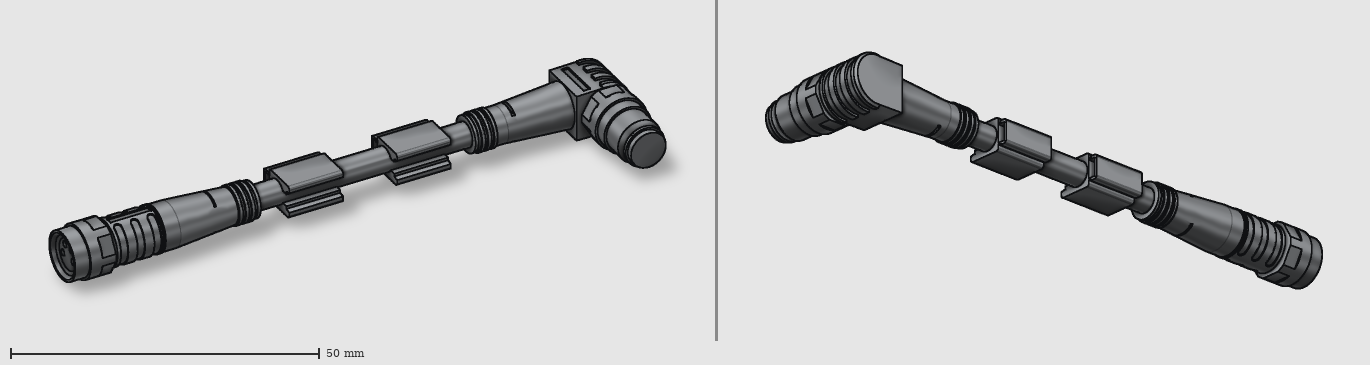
import cadquery as cq
import math


overall_length = 103.4
overall_width = 23.5
ring_dia = 9.6
collar_dia = 8.8
grip_dia = 8.4
barrel_dia = 8.0
boot_dia = 8.2
boot_tip_dia = 6.5
ridge_dia = 6.9
groove_dia = 6.3
neck_dia = 5.9
cable_dia = 4.4

collar_end = 2.7
socket_ring_end = 7.3
grip_start = 8.0
grip_end = 17.0
socket_cone_start = 19.7
socket_cone_end = 31.0
socket_tail_end = 35.2
socket_notch_y = 27.1
socket_notch_width = 0.3
grip_lip = 0.2
lip_groove = 0.2

mouth_dia = 8.0
bore_dia = 6.9
insert_dia = 5.7
bore_depth = 0.7
insert_depth = 1.0
contact_dia = 1.1
contact_circle_dia = 3.5
contact_depth = 2.1
contact_angles = (36, 107, -107, -36)

pocket_width = 1.3
pocket_pitch = 3.1
pocket_first = 9.3
pocket_count = 3
pocket_inset = 1.2
recess_width = 1.2
recess_depth = 0.3

flat_count = 6
flat_width = 3.4
flat_length = 2.5
flat_distance = math.sqrt((ring_dia / 2) ** 2 - (flat_width / 2) ** 2)

ridge_width = 0.6
ridge_pitch = 1.1
ridge_count = 3
notch_floor = 2.5

branch_y = overall_length - ring_dia / 2
elbow_left = -4.4
elbow_right = 4.7
elbow_bottom = 93.1
elbow_radius = 4.3
elbow_bottom_half = 4.2
rib_radius = ring_dia / 2
rib_pad_drop = 0.6
rib_groove_width = 1.4
rib_groove_pitch = 2.7
rib_groove_middle = 0.1
elbow_recess_length = 7.4
elbow_recess_y = 95.5
elbow_cone_end = 81.2
elbow_tail_end = 75.1
elbow_notch_y = 82.7
elbow_notch_width = 0.5

plug_ring_start = 5.1
plug_ring_end = 9.6
plug_collar_end = 11.8
plug_barrel_end = 15.6
plug_groove_bottom = 16.4
plug_bead_start = 17.0
plug_bead_end = 17.6
plug_tip_end = overall_width - ring_dia / 2
plug_neck_dia = 7.2
plug_bead_dia = 7.2
plug_tip_dia = 6.5

clip_length = 10.0
clip_centers = (45.0, 65.0)
clip_left = -4.4
clip_right = 4.0
clip_top = 3.0
clip_corner = 0.5
holder_top = 2.2
holder_wall = 0.5
holder_gap_left = -3.0
holder_gap_right = -2.6
holder_gap_floor = 2.0
label_slot_half = 1.7
jaw_lip = 1.9
jaw_throat_x = 3.1
jaw_throat_lip = 1.7
jaw_half_gap = 1.1
jaw_depth_x = 1.5


def revolve_along_y(steps):
    """Solid of revolution about Y from (y, diameter) corners."""
    points = [(0, steps[0][0])]
    points += [(dia / 2, y) for y, dia in steps]
    points.append((0, steps[-1][0]))
    return cq.Workplane("XY").polyline(points).close().revolve(360, (0, 0), (0, 1))


def box(x0, x1, y0, y1, z0, z1):
    """Axis-aligned box between two corners."""
    return cq.Workplane("XY").box(x1 - x0, y1 - y0, z1 - z0, centered=False).translate((x0, y0, z0))


def ring_flats(start):
    """Blocks that cut the hexagon flats into a coupling ring about Y."""
    cutter = box(-ring_dia / 2, ring_dia / 2, start, start + flat_length, flat_distance, ring_dia)
    flats = cq.Workplane("XY")
    for i in range(flat_count):
        flats = flats.add(cutter.rotate((0, 0, 0), (0, 1, 0), i * 360 / flat_count))
    return flats.combine()


def boot(taper, tip_y):
    """Boot with the given taper corners, then ridges and a plain tail at its narrow end."""
    outward = math.copysign(1, tip_y - taper[0][0])
    steps = list(taper)
    lead_dia = taper[-1][1]
    for i in range(ridge_count, 0, -1):
        near = tip_y - outward * (i * ridge_pitch + ridge_width)
        far = near + outward * ridge_width
        steps += [(near, lead_dia), (near, ridge_dia), (far, ridge_dia), (far, groove_dia)]
        lead_dia = groove_dia
    tail_start = tip_y - outward * ridge_width
    steps += [(tail_start, groove_dia), (tail_start, boot_tip_dia), (tip_y, boot_tip_dia)]
    return revolve_along_y(steps)


def cut_boot_notches(body, notch_y, notch_width):
    """Cross notches that reach down to flat floors above and below the axis."""
    half = notch_width / 2
    for sign in (1, -1):
        z0, z1 = sorted((sign * notch_floor, sign * boot_dia))
        body = body.cut(box(-boot_dia, boot_dia, notch_y - half, notch_y + half, z0, z1))
    return body


def socket():
    """Coupling ring, grip and boot around the receptacle."""
    lip_start = grip_end - grip_lip
    lip_groove_start = lip_start - lip_groove
    body = revolve_along_y([
        (0, collar_dia), (collar_end, collar_dia),
        (collar_end, ring_dia), (socket_ring_end, ring_dia),
        (socket_ring_end, neck_dia), (grip_start, neck_dia),
        (grip_start, grip_dia), (lip_groove_start, grip_dia),
        (lip_groove_start, boot_dia), (lip_start, boot_dia),
        (lip_start, grip_dia), (grip_end, grip_dia),
        (grip_end, boot_dia), (socket_cone_start, boot_dia),
    ])
    body = body.cut(ring_flats(socket_ring_end - flat_length))
    body = body.cut(grip_pockets())
    recess_floor = grip_dia / 2 - recess_depth
    first_edge = pocket_first - pocket_width / 2
    last_edge = first_edge + (pocket_count - 1) * pocket_pitch + pocket_width
    body = body.cut(box(-recess_width / 2, recess_width / 2, first_edge, last_edge, recess_floor, grip_dia))
    taper = [(socket_cone_start, boot_dia), (socket_cone_end, boot_tip_dia), (socket_cone_end, groove_dia)]
    body = body.union(boot(taper, socket_tail_end))
    body = cut_boot_notches(body, socket_notch_y, socket_notch_width)
    return cut_socket_mouth(body)


def grip_pockets():
    """Shallow round-ended pockets around the left and right sides of the grip."""
    pockets = cq.Workplane("XY")
    end_center = pocket_inset + pocket_width / 2
    for i in range(pocket_count):
        y = pocket_first + i * pocket_pitch
        band = (
            cq.Workplane("XZ", origin=(0, y + pocket_width / 2, 0))
            .circle(ring_dia / 2).circle(barrel_dia / 2).extrude(pocket_width)
        )
        land = box(-end_center, end_center, y - pocket_width, y + pocket_width, -ring_dia, ring_dia)
        band = band.cut(land)
        ends = (
            cq.Workplane("XY", origin=(0, 0, -ring_dia))
            .pushPoints([(side * end_center, y) for side in (-1, 1)])
            .circle(pocket_width / 2).extrude(2 * ring_dia)
        )
        core = (
            cq.Workplane("XZ", origin=(0, y + pocket_width, 0))
            .circle(barrel_dia / 2).extrude(2 * pocket_width)
        )
        pockets = pockets.add(band).add(ends.cut(core))
    return pockets.combine()


def cut_socket_mouth(body):
    """Flared mouth down to the insert face with its contact holes."""
    mouth = revolve_along_y([
        (0, mouth_dia), (bore_depth, bore_dia), (insert_depth, insert_dia),
    ])
    body = body.cut(mouth)
    for angle in contact_angles:
        x = contact_circle_dia / 2 * math.sin(math.radians(angle))
        z = contact_circle_dia / 2 * math.cos(math.radians(angle))
        hole = (
            cq.Workplane("XZ", origin=(x, insert_depth + contact_depth, z))
            .circle(contact_dia / 2).extrude(insert_depth + contact_depth)
        )
        body = body.cut(hole)
    return body


def elbow_housing():
    """D-shaped housing: round at the far end, narrowing toward the cable."""
    return (
        cq.Workplane("YZ", origin=(elbow_left, 0, 0))
        .moveTo(branch_y, -elbow_radius)
        .threePointArc((branch_y + elbow_radius, 0), (branch_y, elbow_radius))
        .lineTo(elbow_bottom, elbow_bottom_half)
        .lineTo(elbow_bottom, -elbow_bottom_half)
        .close().extrude(elbow_right - elbow_left)
    )


def elbow():
    """Housing with grip ribs, a label recess and the boot toward the cable."""
    body = elbow_housing().union(grip_ribs())
    recess = box(-elbow_recess_length / 2, elbow_recess_length / 2,
                 elbow_recess_y - recess_width / 2, elbow_recess_y + recess_width / 2,
                 elbow_bottom_half - recess_depth, ring_dia)
    body = body.cut(recess)
    taper = [(elbow_bottom, boot_dia), (elbow_cone_end, boot_tip_dia)]
    body = body.union(boot(taper, elbow_tail_end))
    return cut_boot_notches(body, elbow_notch_y, elbow_notch_width)


def grip_ribs():
    """Raised pad over the round end, split into ribs by grooves."""
    pad = (
        cq.Workplane("YZ", origin=(elbow_left, branch_y, 0))
        .circle(rib_radius).extrude(elbow_right - elbow_left)
        .edges().chamfer(rib_radius - elbow_radius)
    )
    pad_bottom = branch_y - rib_pad_drop
    pad = pad.intersect(box(elbow_left, elbow_right, pad_bottom, overall_length, -ring_dia, ring_dia))
    for i in (-1, 0, 1):
        x = rib_groove_middle + i * rib_groove_pitch
        half = rib_groove_width / 2
        pad = pad.cut(box(x - half, x + half, elbow_bottom, overall_length, -ring_dia, ring_dia))
    return pad


def plug_branch():
    """Plug turned about Y first, then swung round to point along +X."""
    branch = revolve_along_y([
        (0, plug_neck_dia), (plug_ring_start, plug_neck_dia),
        (plug_ring_start, ring_dia), (plug_ring_end, ring_dia),
        (plug_ring_end, collar_dia), (plug_collar_end, collar_dia),
        (plug_collar_end, barrel_dia), (plug_barrel_end, barrel_dia),
        (plug_groove_bottom, neck_dia), (plug_bead_start, plug_bead_dia),
        (plug_bead_end, plug_bead_dia), (plug_bead_end, plug_tip_dia), (plug_tip_end, plug_tip_dia),
    ])
    branch = branch.cut(ring_flats(plug_ring_start))
    return branch.rotate((0, 0, 0), (0, 0, 1), -90).translate((0, branch_y, 0))


def clip(center_y):
    """Clip on the cable: slotted label holder at -X and a flared mouth at +X."""
    back = center_y + clip_length / 2
    upper = (
        cq.Workplane("XZ", origin=(0, back, 0))
        .moveTo(clip_left, 0)
        .lineTo(clip_left, holder_top - clip_corner)
        .radiusArc((clip_left + clip_corner, holder_top), clip_corner)
        .lineTo(holder_gap_left, holder_top)
        .lineTo(holder_gap_left, holder_gap_floor)
        .lineTo(holder_gap_right, holder_gap_floor)
        .lineTo(holder_gap_right, clip_top - clip_corner)
        .radiusArc((holder_gap_right + clip_corner, clip_top), clip_corner)
        .lineTo(clip_right - clip_corner, clip_top)
        .radiusArc((clip_right, clip_top - clip_corner), clip_corner)
        .lineTo(clip_right, jaw_lip)
        .lineTo(jaw_throat_x, jaw_throat_lip)
        .lineTo(jaw_throat_x, jaw_half_gap)
        .lineTo(jaw_depth_x, jaw_half_gap)
        .lineTo(jaw_depth_x, 0)
        .close().extrude(clip_length)
    )
    label_slot = box(clip_left + holder_wall, holder_gap_right,
                     center_y - clip_length, center_y + clip_length, -label_slot_half, label_slot_half)
    return upper.union(upper.mirror("XY")).cut(label_slot)


cable = revolve_along_y([(socket_cone_end, cable_dia), (elbow_bottom, cable_dia)])
result = cable.union(socket()).union(elbow()).union(plug_branch())
for y in clip_centers:
    result = result.union(clip(y))